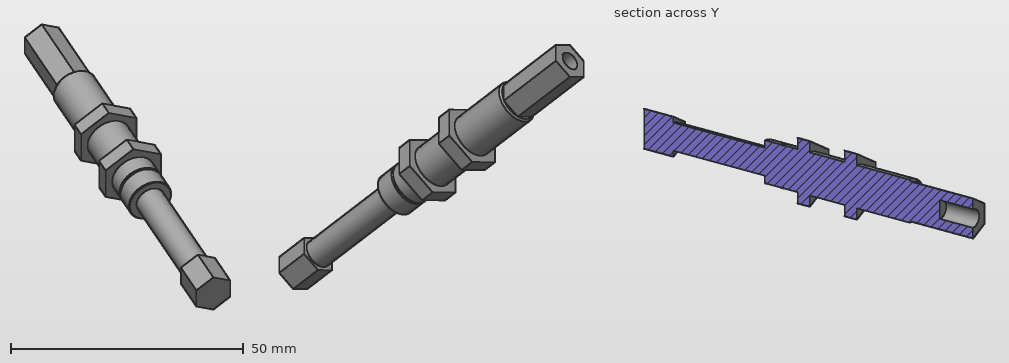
import cadquery as cq

total_length = 90.5
body_diameter = 10.0
rod_diameter = 6.5
bore_diameter = 4.2
bore_depth = 9.05
end_hex_flats = 8.0
nut_flats = 13.0
nut_width = 3.4
nut_starts = (31.95, 44.9)
body_start = 17.0
body_end = 57.3
front_chamfer = 0.45
rear_chamfer = 0.2
groove_start = 52.1
groove_width = 0.5
groove_depth = 0.3
rear_hex_length = 8.1

rear_hex_start = total_length - rear_hex_length


def cylinder(start, end, diameter):
    """Cylinder on the X axis between two stations."""
    return cq.Workplane("YZ", origin=(start, 0, 0)).circle(diameter / 2).extrude(end - start)


def hex_prism(start, end, flats):
    """Hexagonal bar on the X axis with flats facing +Y and -Y."""
    return (
        cq.Workplane("YZ", origin=(start, 0, 0))
        .polygon(6, flats, circumscribed=True)
        .extrude(end - start)
    )


def make_body():
    """Barrel with chamfered ends and a V-groove behind the second nut."""
    radius = body_diameter / 2
    groove_middle = groove_start + groove_width / 2
    return (
        cq.Workplane("XY")
        .moveTo(body_start, 0)
        .lineTo(body_start, radius - front_chamfer)
        .lineTo(body_start + front_chamfer, radius)
        .lineTo(groove_start, radius)
        .lineTo(groove_middle, radius - groove_depth)
        .lineTo(groove_start + groove_width, radius)
        .lineTo(body_end - rear_chamfer, radius)
        .lineTo(body_end, radius - rear_chamfer)
        .lineTo(body_end, 0)
        .close()
        .revolve(360, (0, 0, 0), (1, 0, 0))
    )


result = make_body()

result = result.union(hex_prism(0, body_start, end_hex_flats))
result = result.union(cylinder(body_end, rear_hex_start, rod_diameter))
result = result.union(hex_prism(rear_hex_start, total_length, end_hex_flats))

for nut_start in nut_starts:
    result = result.union(hex_prism(nut_start, nut_start + nut_width, nut_flats))

result = result.cut(cylinder(0, bore_depth, bore_diameter))